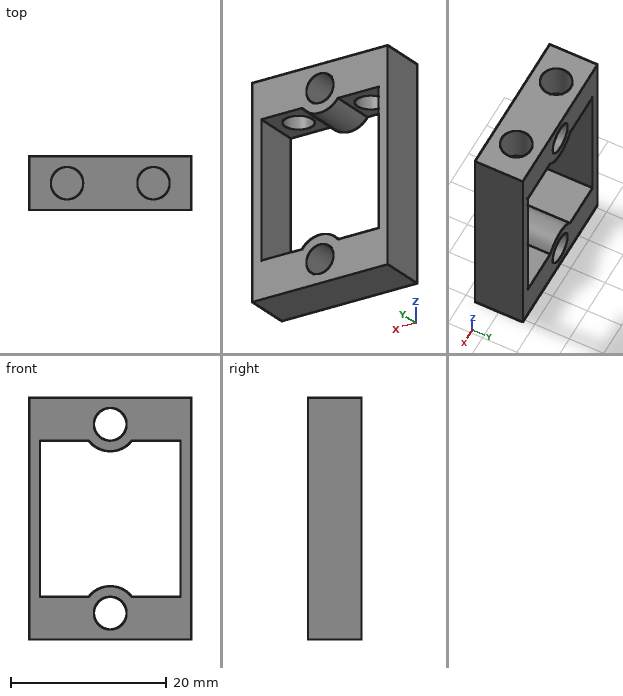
import cadquery as cq

width = 20.87
depth = 6.95
height = 31.15
side_wall = 1.4
rail_height = 5.55

hole_diameter = 4.17
boss_wall = 1.4
boss_radius = hole_diameter / 2 + boss_wall
cross_hole_z = height / 2 - 3.43

top_hole_spacing = 11.12


def cylinder_along_y(radius, z):
    """Cylinder through the full depth, centred at height z."""
    return cq.Workplane("XZ").center(0, z).circle(radius).extrude(depth / 2, both=True)


window_width = width - 2 * side_wall
window_height = height - 2 * rail_height
frame = cq.Workplane("XY").box(width, depth, height)
frame = frame.cut(cq.Workplane("XY").box(window_width, depth, window_height))

for z in (cross_hole_z, -cross_hole_z):
    frame = frame.union(cylinder_along_y(boss_radius, z))
    frame = frame.cut(cylinder_along_y(hole_diameter / 2, z))

frame = frame.intersect(cq.Workplane("XY").box(width, depth, height))

top_holes = (
    cq.Workplane("XY", origin=(0, 0, height / 2))
    .pushPoints([(-top_hole_spacing / 2, 0), (top_hole_spacing / 2, 0)])
    .circle(hole_diameter / 2)
    .extrude(-rail_height)
)
result = frame.cut(top_holes)